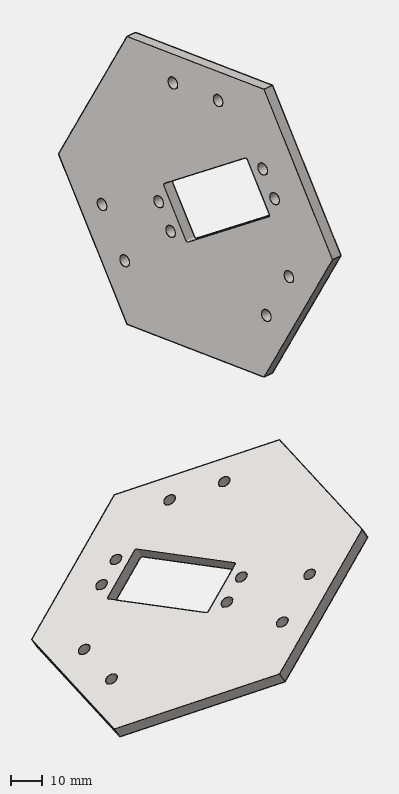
import cadquery as cq
import math

corner_diameter = 115.5
thickness = 4.0
hole_diameter = 4.0

pair_count = 3
pair_radius = 40.0
pair_spacing = 19.0

window_tilt = 30.0
window_shift = 10.3
window_length = 40.5
window_width = 19.9
window_corner_radius = 0.7

screw_spacing_along = 50.6
screw_spacing_across = 10.0


def front_plane(angle=0.0):
    """Plane at the plate centre facing -Y, turned by angle degrees within the plate."""
    turn = math.radians(angle)
    return cq.Plane(
        origin=(0, 0, 0),
        xDir=(math.cos(turn), 0, math.sin(turn)),
        normal=(0, -1, 0),
    )


def through_cut(sketch):
    """Solid passing through the whole plate."""
    return sketch.extrude(thickness, both=True)


def hole_pair(angle):
    centre_row = cq.Workplane(front_plane(angle)).center(0, pair_radius)
    return through_cut(centre_row.rarray(pair_spacing, 1.2, 2, 1).circle(hole_diameter / 2))


def window():
    centre = cq.Workplane(front_plane(window_tilt)).center(window_shift, 0)
    opening = through_cut(centre.rect(window_length, window_width))
    return opening.edges("|Y").fillet(window_corner_radius)


def window_screw_holes():
    centre = cq.Workplane(front_plane(window_tilt)).center(window_shift, 0)
    corners = centre.rarray(screw_spacing_along, screw_spacing_across, 2, 2)
    return through_cut(corners.circle(hole_diameter / 2))


result = (
    cq.Workplane(front_plane())
    .polygon(6, corner_diameter)
    .extrude(thickness / 2, both=True)
)

for index in range(pair_count):
    result = result.cut(hole_pair(index * 360.0 / pair_count))

result = result.cut(window()).cut(window_screw_holes())